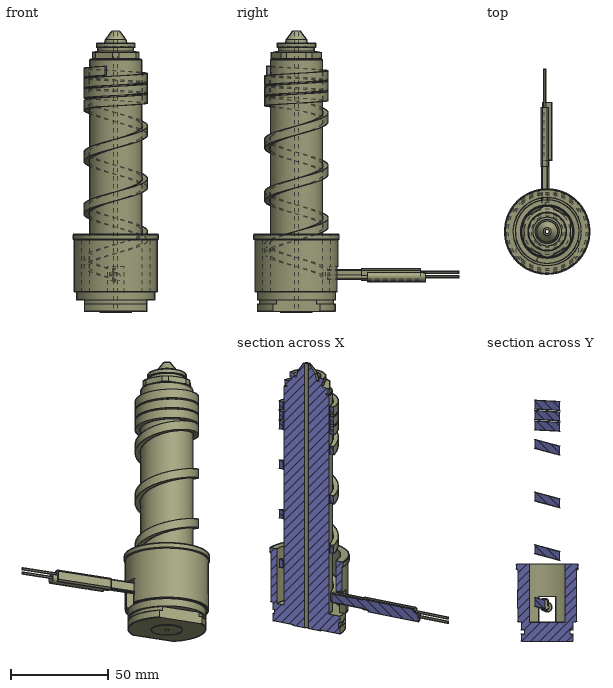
import cadquery as cq
import math


nozzle_height = 144.8
bore_radius = 1.0

base_boss_radius = 8.1
base_boss_height = 0.5
base_radius = 20.1
base_chamfer = 0.3
base_groove_radius = 19.1
base_groove_bottom = 4.3
base_groove_top = 6.5
flat_half_width = 16.1

cup_bottom = 10.4
cup_radius = 21.5
cup_rim_radius = 22.0
cup_rim_bottom = 37.4
cup_top = 40.4
cup_inner_radius = 17.5
cup_chamfer = 0.5
slot_width = 8.7
slot_top = 23.6

stem_radius = 13.5
stem_top = 130.3
stem_chamfer = 0.5
hex_neck_radius = 11.7
hex_bottom = 130.8
hex_rim_z = 133.7
hex_corner_radius = 13.0
hex_flat_distance = 12.0
collar_neck_radius = 9.3
collar_neck_bottom = 134.4
collar_bottom = 136.3
collar_radius = 10.0
collar_top = 138.6
collar_chamfer = 0.3
tip_recess_radius = 7.4
tip_recess_bottom = 136.7
tip_root_radius = 6.2
tip_shoulder_radius = 5.4
tip_shoulder_z = 140.3
tip_end_radius = 2.0

coil_clearance = 0.3
ribbon_thickness = 2.6
ribbon_height = 4.6
coil_inner_radius = stem_radius + coil_clearance
coil_mid_radius = coil_inner_radius + ribbon_thickness / 2
coil_top_angle = 250.0
coil_top_z = 124.4
close_pitch = 5.4
close_turns = 3.04
open_pitch = 27.1
blend_turns = 0.3
coil_end_angle = 94.0
coil_whole_turns = 6
coil_turns = coil_whole_turns + (coil_top_angle - coil_end_angle) / 360
points_per_turn = 24

lead_x = -1.3
lead_width = 3.0
lead_height = 5.2
lead_chamfer = 0.5
sleeve_width = 3.9
sleeve_height = 6.1
sleeve_chamfer = 0.9
sleeve_start = 33.5
sleeve_end = 63.9
wire_radius = 0.6
wire_spacing = 2.3
wire_end = 83.5
sensor_x = 0.0
sensor_drop = 1.3
sensor_radius = 1.0
sensor_sleeve_radius = 2.5
sensor_sleeve_start = 36.6
sensor_sleeve_end = 66.5


def turned_blank():
    """Revolve the outside of the nozzle, including the cup and the tip recess."""
    profile = [
        (0, 0),
        (base_boss_radius, 0),
        (base_boss_radius, base_boss_height),
        (base_radius - base_chamfer, base_boss_height),
        (base_radius, base_boss_height + base_chamfer),
        (base_radius, base_groove_bottom),
        (base_groove_radius, base_groove_bottom),
        (base_groove_radius, base_groove_top),
        (base_radius, base_groove_top),
        (base_radius, cup_bottom),
        (cup_radius - cup_chamfer, cup_bottom),
        (cup_radius, cup_bottom + cup_chamfer),
        (cup_radius, cup_rim_bottom),
        (cup_rim_radius, cup_rim_bottom + cup_chamfer),
        (cup_rim_radius, cup_top - cup_chamfer),
        (cup_rim_radius - cup_chamfer, cup_top),
        (cup_inner_radius, cup_top),
        (cup_inner_radius, cup_bottom),
        (stem_radius, cup_bottom),
        (stem_radius, stem_top - stem_chamfer),
        (stem_radius - stem_chamfer, stem_top),
        (hex_neck_radius, stem_top),
        (hex_neck_radius, hex_bottom),
        (hex_corner_radius, hex_bottom),
        (hex_corner_radius, hex_rim_z),
        (collar_neck_radius, collar_neck_bottom),
        (collar_neck_radius, collar_bottom),
        (collar_radius - collar_chamfer, collar_bottom),
        (collar_radius, collar_bottom + collar_chamfer),
        (collar_radius, collar_top - collar_chamfer),
        (collar_radius - collar_chamfer, collar_top),
        (tip_recess_radius, collar_top),
        (tip_recess_radius, tip_recess_bottom),
        (tip_root_radius, tip_recess_bottom),
        (tip_shoulder_radius, tip_shoulder_z),
        (tip_end_radius, nozzle_height),
        (0, nozzle_height),
    ]
    return cq.Workplane("XZ").polyline(profile).close().revolve(360, (0, 0), (0, 1))


def flats_cutter(flat_distance, bottom, top, angles):
    """Blocks that leave a flat at the given distance from the axis, one at each angle."""
    reach = 2 * cup_rim_radius
    block = cq.Workplane("XY").box(reach, 2 * reach, top - bottom, centered=(False, True, False))
    block = block.translate((flat_distance, 0, bottom))
    cutter = cq.Workplane("XY")
    for angle in angles:
        cutter = cutter.add(block.rotate((0, 0, 0), (0, 0, 1), angle))
    return cutter.combine()


def lead_slot():
    """Slot through the +Y side of the cup wall, down to the cup floor."""
    inner_y = stem_radius + coil_clearance
    slot = cq.Workplane("XY").box(
        slot_width, cup_rim_radius - inner_y, slot_top - cup_bottom, centered=(True, False, False)
    )
    return slot.translate((0, inner_y, cup_bottom))


def make_nozzle():
    """Turned body with wrench flats, hexagon, lead slot and a bore right through."""
    nozzle = turned_blank()
    nozzle = nozzle.cut(flats_cutter(flat_half_width, 0, base_groove_top, (0, 180)))
    nozzle = nozzle.cut(flats_cutter(hex_flat_distance, hex_bottom, collar_neck_bottom, range(0, 360, 60)))
    nozzle = nozzle.cut(lead_slot())
    return nozzle.cut(cq.Workplane("XY").circle(bore_radius).extrude(nozzle_height))


def coil_drop(turns):
    """Drop below the coil's top end: close pitch, then a smooth blend, then open pitch."""
    if turns <= close_turns:
        return close_pitch * turns
    opened = turns - close_turns
    blended = min(opened, blend_turns)
    extra_pitch = open_pitch - close_pitch
    blend_drop = extra_pitch * blended**2 / (2 * blend_turns)
    return close_pitch * turns + blend_drop + extra_pitch * (opened - blended)


def coil_point(turns):
    """Point on the middle of the ribbon, a number of turns below its top end."""
    angle = math.radians(coil_top_angle - 360 * turns)
    return (
        coil_mid_radius * math.cos(angle),
        coil_mid_radius * math.sin(angle),
        coil_top_z - coil_drop(turns),
    )


def make_coil():
    """Sweep the ribbon section down the variable-pitch helix, held upright by a guide straight above."""
    steps = round(coil_turns * points_per_turn)
    path = cq.Workplane("XY").spline([coil_point(coil_turns * i / steps) for i in range(steps + 1)])
    guide = path.translate((0, 0, ribbon_height))
    top_angle = math.radians(coil_top_angle)
    radial = (math.cos(top_angle), math.sin(top_angle), 0)
    tangential = (math.sin(top_angle), -math.cos(top_angle), 0)
    section_plane = cq.Plane(origin=coil_point(0), xDir=radial, normal=tangential)
    section = cq.Workplane(section_plane).rect(ribbon_thickness, ribbon_height)
    return section.sweep(path, auxSpine=guide)


def bar_along_y(x, z, width, height, chamfer, start, end):
    """Rectangular bar along Y with its four long edges chamfered."""
    bar = cq.Workplane("XY").box(width, end - start, height, centered=(True, False, True))
    return bar.edges("|Y").chamfer(chamfer).translate((x, start, z))


def rod_along_y(x, z, radius, start, end):
    """Round rod along +Y (the XZ workplane faces -Y, so the length is negative)."""
    return cq.Workplane("XZ", origin=(x, start, z)).circle(radius).extrude(start - end)


def make_leads(lead_z):
    """Flat lead, its sleeve and two wires, with the round sensor lead and sleeve beside them."""
    start = coil_mid_radius
    sensor_z = lead_z - sensor_drop
    leads = bar_along_y(lead_x, lead_z, lead_width, lead_height, lead_chamfer, start, sleeve_start)
    leads = leads.union(
        bar_along_y(lead_x, lead_z, sleeve_width, sleeve_height, sleeve_chamfer, sleeve_start, sleeve_end)
    )
    leads = leads.union(rod_along_y(sensor_x, sensor_z, sensor_radius, start, sensor_sleeve_start))
    leads = leads.union(
        rod_along_y(sensor_x, sensor_z, sensor_sleeve_radius, sensor_sleeve_start, sensor_sleeve_end)
    )
    for side in (-1, 1):
        wire_z = lead_z + side * wire_spacing / 2
        leads = leads.union(rod_along_y(lead_x, wire_z, wire_radius, sleeve_end, wire_end))
    return leads


def make_heater():
    """Coil with its leads growing out of the lower end."""
    coil_end_z = coil_top_z - coil_drop(coil_turns)
    return make_leads(coil_end_z).union(make_coil())


nozzle = make_nozzle()
heater = make_heater()
result = cq.Compound.makeCompound([*nozzle.vals(), *heater.vals()])